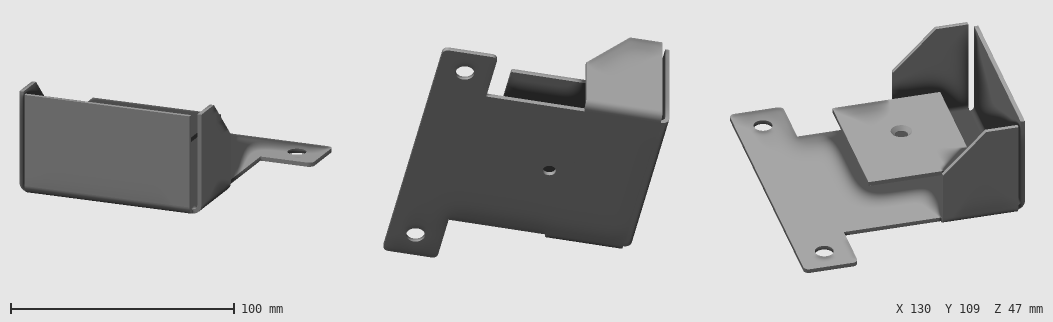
import cadquery as cq


SHEET = 2.0
BEND_INNER = 2.1
BEND_OUTER = BEND_INNER + SHEET
DEPTH = 109.0
HEIGHT = 47.0
FLANGE_WIDTH = 130.0
FLANGE_DEPTH = 25.0
FLANGE_CORNER = 2.5
BASE_WIDTH = 80.0
BASE_DEPTH = DEPTH - BEND_OUTER
SIDE_LENGTH = 35.0
SIDE_CHAMFER = 20.0

MOUNT_DIAMETER = 8.5
MOUNT_SPACING = 105.0
MOUNT_Y = DEPTH - FLANGE_DEPTH / 2

PLATE_WIDTH = 62.0
PLATE_DEPTH = 50.0
PLATE_THICKNESS = 2.1
PLATE_BOTTOM = 22.0
PLATE_LEFT = -36.0
PLATE_BACK_GAP = 37.5
PLATE_Y = DEPTH - PLATE_BACK_GAP - PLATE_DEPTH / 2

SCREW_DIAMETER = 6.0
SCREW_HEAD_DIAMETER = 9.6
SCREW_HEAD_ANGLE = 90


def bent_wall(length):
    """Wall with its bend, starting at the base edge (X = 0), bending out to +X and run along +Y."""
    mid_bend = 0.5 ** 0.5
    return (
        cq.Workplane("XZ")
        .moveTo(0, 0)
        .threePointArc(
            (BEND_OUTER * mid_bend, BEND_OUTER * (1 - mid_bend)),
            (BEND_OUTER, BEND_OUTER),
        )
        .lineTo(BEND_OUTER, HEIGHT)
        .lineTo(BEND_INNER, HEIGHT)
        .lineTo(BEND_INNER, BEND_OUTER)
        .threePointArc(
            (BEND_INNER * mid_bend, BEND_OUTER - BEND_INNER * mid_bend),
            (0, SHEET),
        )
        .close()
        .extrude(-length)
    )


def make_base():
    """Flat T-shaped sheet: a wide rear flange with rounded corners and a narrower base."""
    flange = (
        cq.Workplane("XY")
        .box(FLANGE_WIDTH, FLANGE_DEPTH, SHEET, centered=(True, True, False))
        .edges("|Z")
        .fillet(FLANGE_CORNER)
        .translate((0, MOUNT_Y, 0))
    )
    base = (
        cq.Workplane("XY")
        .box(BASE_WIDTH, BASE_DEPTH, SHEET, centered=(True, False, False))
        .translate((0, BEND_OUTER, 0))
    )
    return base.union(flange)


def make_side_wall():
    """Right side wall with its upper rear corner cut off."""
    wall = bent_wall(SIDE_LENGTH).edges(">Y and >Z").chamfer(SIDE_CHAMFER)
    return wall.translate((BASE_WIDTH / 2, BEND_OUTER, 0))


def make_front_wall():
    wall = bent_wall(BASE_WIDTH).rotate((0, 0, 0), (0, 0, 1), -90)
    return wall.translate((-BASE_WIDTH / 2, BEND_OUTER, 0))


def make_bracket():
    side_wall = make_side_wall()
    bracket = (
        make_base()
        .union(make_front_wall())
        .union(side_wall)
        .union(side_wall.mirror("YZ"))
    )
    mount_holes = (
        cq.Workplane("XY")
        .pushPoints([(-MOUNT_SPACING / 2, MOUNT_Y), (MOUNT_SPACING / 2, MOUNT_Y)])
        .circle(MOUNT_DIAMETER / 2)
        .extrude(SHEET)
    )
    screw_hole = (
        cq.Workplane("XY").center(0, PLATE_Y).circle(SCREW_DIAMETER / 2).extrude(SHEET)
    )
    return bracket.cut(mount_holes).cut(screw_hole)


def make_plate():
    """Flat plate above the base, with a countersunk screw hole on the symmetry plane."""
    return (
        cq.Workplane("XY", origin=(PLATE_LEFT, PLATE_Y, PLATE_BOTTOM))
        .box(PLATE_WIDTH, PLATE_DEPTH, PLATE_THICKNESS, centered=(False, True, False))
        .faces(">Z")
        .workplane(origin=(0, PLATE_Y, 0))
        .cskHole(SCREW_DIAMETER, SCREW_HEAD_DIAMETER, SCREW_HEAD_ANGLE)
    )


bracket = make_bracket()
plate = make_plate()
result = cq.Compound.makeCompound([bracket.val(), plate.val()])